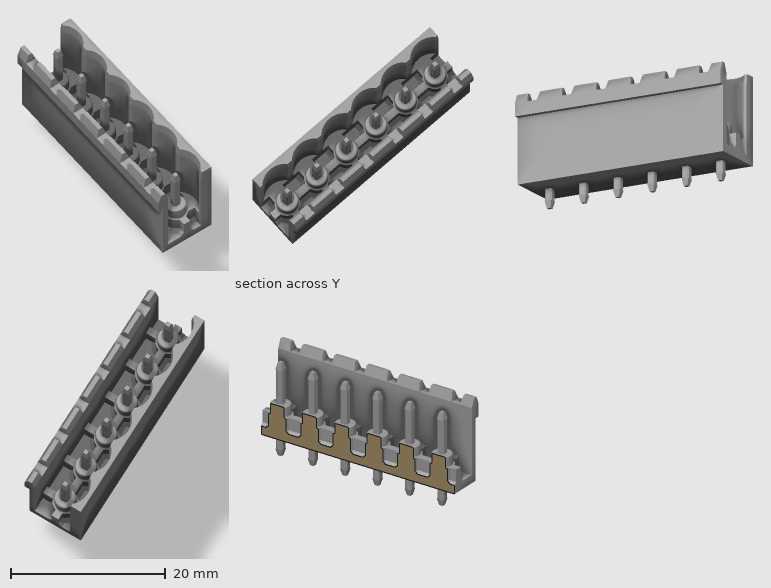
import cadquery as cq
import math

length = 30.48
pin_count = 6
pitch = length / pin_count
pin_positions = [(i - (pin_count - 1) / 2) * pitch for i in range(pin_count)]

height = 12.0
half_depth = 3.9
back_inner_y = 2.25
back_top_y = 2.4
front_inner_y = -3.08
hook_y = -4.6
hook_bottom_z = 9.0
crest_taper_z = 10.8
hook_tip_y = (-3.55, -4.1)

back_floor_z = 1.1
front_floor_z = 1.2
shelf_z = 3.38
flare = 0.52
rib_width = 1.0
web_width = 2.3
post_radius = 1.65

collar_radius = 1.4
collar_top_z = 4.95
collar_top_round = 0.18
collar_foot = 0.15

scallop_center_y = 0.37
scallop_radius = 2.8
scallop_top_radius = 3.0

notch_floor_width = 1.37
notch_top_width = 1.8

pin_width = 1.0
pin_edge_chamfer = 0.15
pin_top_z = 10.8
pin_bottom_z = -2.6
pin_tip_length = 0.98
pin_tip_width = 0.55


def make_shell():
    """U-shaped housing with a hooked front wall, open at both ends."""
    outline = [
        (-half_depth, 0),
        (half_depth, 0),
        (half_depth, height),
        (back_top_y, height),
        (back_inner_y, crest_taper_z),
        (back_inner_y, back_floor_z),
        (0, back_floor_z),
        (0, front_floor_z),
        (front_inner_y, front_floor_z),
        (front_inner_y, crest_taper_z),
        (hook_tip_y[0], height),
        (hook_tip_y[1], height),
        (hook_y, crest_taper_z),
        (hook_y, hook_bottom_z),
        (-half_depth, hook_bottom_z),
    ]
    return cq.Workplane("YZ").polyline(outline).close().extrude(length / 2, both=True)


def flared_edge(half_width, floor_z):
    """Half section of an upright: shelf edge, straight flank, 45 degree foot."""
    return [
        (0, 0),
        (0, shelf_z),
        (half_width, shelf_z),
        (half_width, floor_z + flare),
        (half_width + flare, floor_z),
        (half_width + flare, 0),
    ]


def make_long_rib():
    """Rib under the pin row; each flank reaches the floor on its own side."""
    back = flared_edge(rib_width / 2, back_floor_z)
    front = [(-y, z) for y, z in flared_edge(rib_width / 2, front_floor_z)]
    rib = cq.Workplane("YZ").polyline(back).close().extrude(length / 2, both=True)
    return rib.union(cq.Workplane("YZ").polyline(front).close().extrude(length / 2, both=True))


def make_post():
    """Round post, its foot following the floor height behind and in front."""
    half_turn = (180, (0, 0), (0, 1))
    back = cq.Workplane("XZ").polyline(flared_edge(post_radius, back_floor_z)).close().revolve(*half_turn)
    front = cq.Workplane("XZ").polyline(flared_edge(post_radius, front_floor_z)).close().revolve(*half_turn)
    return back.union(front.rotate((0, 0, 0), (0, 0, 1), 180))


def make_back_web():
    """Flared web from the post to the back wall."""
    edge = flared_edge(web_width / 2, back_floor_z)
    outline = edge[2:] + [(-x, z) for x, z in reversed(edge[2:])]
    return cq.Workplane("XZ").polyline(outline).close().extrude(-half_depth)


def make_front_rib():
    """Plain rib from the post to the front wall."""
    return (
        cq.Workplane("XY")
        .box(rib_width, half_depth, shelf_z, centered=(True, False, False))
        .translate((0, -half_depth, 0))
    )


def make_collar():
    """Collar with a rounded top edge and a small concave foot."""
    rounding = collar_top_round * (1 - math.sqrt(0.5))
    hollow = collar_foot * (1 - math.sqrt(0.5))
    return (
        cq.Workplane("XZ")
        .moveTo(0, 0)
        .lineTo(collar_radius + collar_foot, 0)
        .lineTo(collar_radius + collar_foot, shelf_z)
        .threePointArc((collar_radius + hollow, shelf_z + hollow), (collar_radius, shelf_z + collar_foot))
        .lineTo(collar_radius, collar_top_z - collar_top_round)
        .threePointArc(
            (collar_radius - rounding, collar_top_z - rounding),
            (collar_radius - collar_top_round, collar_top_z),
        )
        .lineTo(0, collar_top_z)
        .close()
        .revolve(360, (0, 0), (0, 1))
    )


def make_pin():
    """Square pin with chamfered edges and a pyramid tip at each end."""
    shank_bottom = pin_bottom_z + pin_tip_length
    shank_top = pin_top_z - pin_tip_length
    pin = (
        cq.Workplane("XY", origin=(0, 0, shank_bottom))
        .rect(pin_width, pin_width)
        .extrude(shank_top - shank_bottom)
        .edges("|Z")
        .chamfer(pin_edge_chamfer)
    )
    for base_z, tip_z in ((shank_top, pin_top_z), (shank_bottom, pin_bottom_z)):
        tip = (
            cq.Workplane("XY", origin=(0, 0, base_z))
            .rect(pin_width, pin_width)
            .workplane(offset=tip_z - base_z)
            .rect(pin_tip_width, pin_tip_width)
            .loft(ruled=True)
        )
        pin = pin.union(tip)
    return pin


def make_scallop():
    """Round recess in the back wall, widening as a cone above the taper line."""
    return (
        cq.Workplane("XZ", origin=(0, scallop_center_y, 0))
        .polyline([
            (0, shelf_z),
            (scallop_radius, shelf_z),
            (scallop_radius, crest_taper_z),
            (scallop_top_radius, height),
            (0, height),
        ])
        .close()
        .revolve(360, (0, 0), (0, 1))
        .intersect(cq.Workplane("XY").box(pitch, half_depth, height, centered=(True, False, False)))
    )


def make_notch():
    """Tapered notch through the crest of the front wall."""
    return (
        cq.Workplane("XZ")
        .polyline([
            (-notch_floor_width / 2, crest_taper_z),
            (notch_floor_width / 2, crest_taper_z),
            (notch_top_width / 2, height),
            (-notch_top_width / 2, height),
        ])
        .close()
        .extrude(-hook_y)
    )


scallop = make_scallop()
notch = make_notch()
upright = make_post().union(make_back_web()).union(make_front_rib())
contact = make_collar().union(make_pin())

result = make_shell().union(make_long_rib())
for x in pin_positions:
    result = result.cut(scallop.translate((x, 0, 0)))
    result = result.cut(notch.translate((x, 0, 0)))
    result = result.union(upright.translate((x, 0, 0)))
    result = result.union(contact.translate((x, 0, 0)))